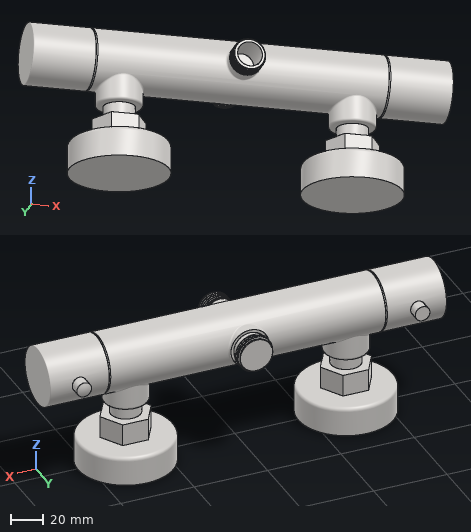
import cadquery as cq
import math


bar_length = 270.0
bar_diameter = 40.0
handle_length = 40.2
joint_gap = 1.0
joint_neck_diameter = 38.3
edge_round = 0.5

pin_diameter = 10.0
pin_reach = 27.0
pin_from_end = 19.7
right_pin_dome = 1.0

union_spacing = 150.0
boss_diameter = 30.0
neck_diameter = 20.2
hex_across_flats = 30.2
flange_diameter = 64.8
flange_round = 3.0
boss_edge_round = 1.5
axis_height = 74.0
flange_height = 20.0
hex_height = 14.8
boss_bottom_height = 44.0

thread_pitch = 1.8
ridge_base = 1.5
ridge_sink = 0.08
front_outlet_diameter = 21.0
front_outlet_reach = 35.0
front_thread_length = 10.0
front_thread_depth = 0.68
bore_diameter = 16.0
bore_depth = 21.5
rear_collar_diameter = 26.0
rear_collar_reach = 22.0
rear_outlet_diameter = 24.0
rear_outlet_reach = 31.9
rear_thread_length = 7.8
rear_thread_depth = 0.95
junction_round = 1.0

body_length = bar_length - 2 * (handle_length + joint_gap)
hex_corner_diameter = 2 * hex_across_flats / math.sqrt(3)
union_places = (-union_spacing / 2, union_spacing / 2)

FRONT = 90
REAR = -90


def cylinder_x(start, length, diameter):
    return cq.Workplane("YZ", origin=(start, 0, 0)).circle(diameter / 2).extrude(length)


def cylinder_z(x, start, height, diameter):
    return cq.Workplane("XY", origin=(x, 0, start)).circle(diameter / 2).extrude(height)


def turned_about_x(shape, angle):
    return shape.rotate((0, 0, 0), (1, 0, 0), angle)


def thread_ridge(diameter, depth, length, end):
    """Helical V ridge around Z that fits in the last `length` up to the height `end`.

    Its base lies slightly inside the root cylinder, so that the two join.
    """
    root_radius = diameter / 2 - depth
    sunk_radius = root_radius - ridge_sink
    half_base = ridge_base / 2
    path = cq.Wire.makeHelix(thread_pitch, length - thread_pitch, root_radius)
    profile = (
        cq.Workplane("XZ")
        .moveTo(sunk_radius, -half_base)
        .lineTo(diameter / 2, 0)
        .lineTo(sunk_radius, half_base)
        .close()
    )
    ridge = profile.sweep(cq.Workplane(path), isFrenet=True)
    return ridge.translate((0, 0, end - length + thread_pitch / 2))


def threaded_end(diameter, depth, length, end):
    """Threaded length of an outlet along Z that ends at the height `end`."""
    root = cylinder_z(0, end - length, length, diameter - 2 * depth)
    return root.union(thread_ridge(diameter, depth, length, end))


def make_tube():
    """Bar between the handles with its bosses and outlet stubs, rounded where they meet."""
    tube = cylinder_x(-body_length / 2, body_length, bar_diameter).edges().fillet(edge_round)
    for x in union_places:
        boss_length = axis_height - boss_bottom_height
        boss = cylinder_z(x, -boss_length, boss_length, boss_diameter)
        tube = tube.union(boss.faces("<Z").edges().fillet(boss_edge_round))
    front_stub = cylinder_z(0, 0, front_outlet_reach - front_thread_length, front_outlet_diameter)
    rear_collar = cylinder_z(0, 0, rear_collar_reach, rear_collar_diameter)
    tube = tube.union(turned_about_x(front_stub, FRONT)).union(turned_about_x(rear_collar, REAR))
    return tube.edges("%BSPLINE or %OTHER").fillet(junction_round)


def make_wall_union(x):
    """Flange, hexagon and neck of one wall union."""
    flange = cylinder_z(x, -axis_height, flange_height, flange_diameter)
    flange = flange.faces(">Z").edges().fillet(flange_round)
    hexagon_bottom = flange_height - axis_height
    hexagon = (
        cq.Workplane("XY", origin=(x, 0, hexagon_bottom))
        .polygon(6, hex_corner_diameter)
        .extrude(hex_height)
    )
    neck = cylinder_z(x, hexagon_bottom, boss_bottom_height - flange_height, neck_diameter)
    return flange.union(hexagon).union(neck)


def add_front_thread(body):
    thread = threaded_end(
        front_outlet_diameter, front_thread_depth, front_thread_length, front_outlet_reach
    )
    return body.union(turned_about_x(thread, FRONT))


def cut_front_bore(body):
    bore = cylinder_z(0, front_outlet_reach - bore_depth, bore_depth, bore_diameter)
    return body.cut(turned_about_x(bore, FRONT))


def add_rear_thread(body):
    """Plain stub from the rear collar, followed by the thread."""
    stub_reach = rear_outlet_reach - rear_thread_length
    stub = cylinder_z(0, 0, stub_reach, rear_outlet_diameter - 2 * rear_thread_depth)
    thread = threaded_end(
        rear_outlet_diameter, rear_thread_depth, rear_thread_length, rear_outlet_reach
    )
    return body.union(turned_about_x(stub, REAR)).union(turned_about_x(thread, REAR))


def make_body():
    """Bar with its wall unions, outlets and the narrower joint necks that touch the handles."""
    body = make_tube()
    for x in union_places:
        body = body.union(make_wall_union(x))
    joint_length = body_length + 2 * joint_gap
    body = body.union(cylinder_x(-joint_length / 2, joint_length, joint_neck_diameter))
    body = add_front_thread(body)
    body = cut_front_bore(body)
    return add_rear_thread(body)


def make_pin(x, dome_height):
    """Pin along +Z, flat or with a spherical cap of `dome_height` on its end."""
    if dome_height == 0:
        return cylinder_z(x, 0, pin_reach, pin_diameter)
    pin_radius = pin_diameter / 2
    sphere_radius = (pin_radius**2 + dome_height**2) / (2 * dome_height)
    half_outline = (
        cq.Workplane("XZ", origin=(x, 0, 0))
        .lineTo(pin_radius, 0)
        .lineTo(pin_radius, pin_reach)
        .radiusArc((0, pin_reach + dome_height), -sphere_radius)
        .close()
    )
    return half_outline.revolve(360, (0, 0), (0, 1))


def make_handle(side, dome_height):
    """Handle at one end of the bar (side -1 or 1), with its pin pointing to +Y."""
    handle_middle = side * (bar_length - handle_length) / 2
    handle = cylinder_x(handle_middle - handle_length / 2, handle_length, bar_diameter)
    handle = handle.edges().fillet(edge_round)
    pin = make_pin(side * (bar_length / 2 - pin_from_end), dome_height)
    return handle.union(turned_about_x(pin, REAR))


body = make_body()
left_handle = make_handle(-1, 0)
right_handle = make_handle(1, right_pin_dome)

result = cq.Compound.makeCompound([body.val(), left_handle.val(), right_handle.val()])